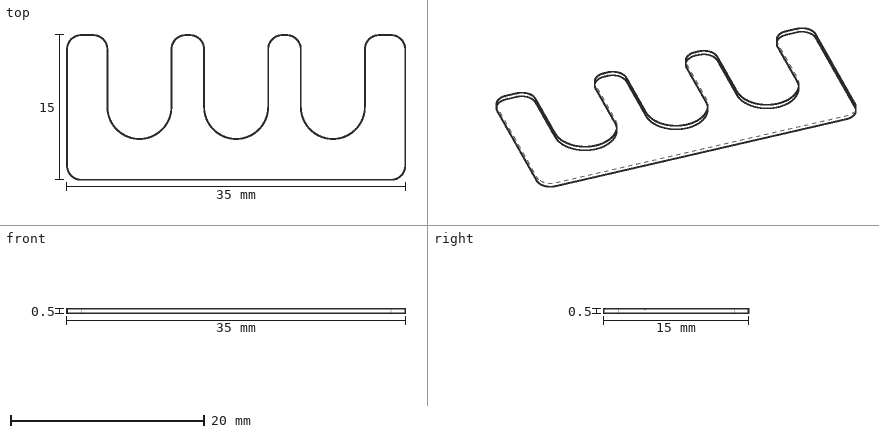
import cadquery as cq

LENGTH = 35.0
DEPTH = 15.0
THICKNESS = 0.5
CORNER_RADIUS = 1.5

SLOT_COUNT = 3
SLOT_PITCH = 10.0
SLOT_WIDTH = 6.6
SPINE_WIDTH = 4.25

SLOT_RADIUS = SLOT_WIDTH / 2
BACK_EDGE_Y = DEPTH / 2
SLOT_CENTER_Y = -DEPTH / 2 + SPINE_WIDTH + SLOT_RADIUS


def make_blank():
    """Rectangular plate with square corners."""
    return cq.Workplane("XY").box(LENGTH, DEPTH, THICKNESS, centered=(True, True, False))


def make_slot(center_x):
    """Cutter for one slot: a half-round bottom with straight walls up to the +Y edge."""
    left = center_x - SLOT_RADIUS
    right = center_x + SLOT_RADIUS
    return (
        cq.Workplane("XY")
        .moveTo(left, BACK_EDGE_Y)
        .lineTo(left, SLOT_CENTER_Y)
        .threePointArc((center_x, SLOT_CENTER_Y - SLOT_RADIUS), (right, SLOT_CENTER_Y))
        .lineTo(right, BACK_EDGE_Y)
        .close()
        .extrude(THICKNESS)
    )


def round_corners(plate):
    """Round the plate corners and finger tips, all lying on the two long edges."""
    for side in (">Y", "<Y"):
        plate = plate.faces(side).edges("|Z").fillet(CORNER_RADIUS)
    return plate


plate = make_blank()
for index in range(SLOT_COUNT):
    slot_x = (index - (SLOT_COUNT - 1) / 2) * SLOT_PITCH
    plate = plate.cut(make_slot(slot_x))

result = round_corners(plate)